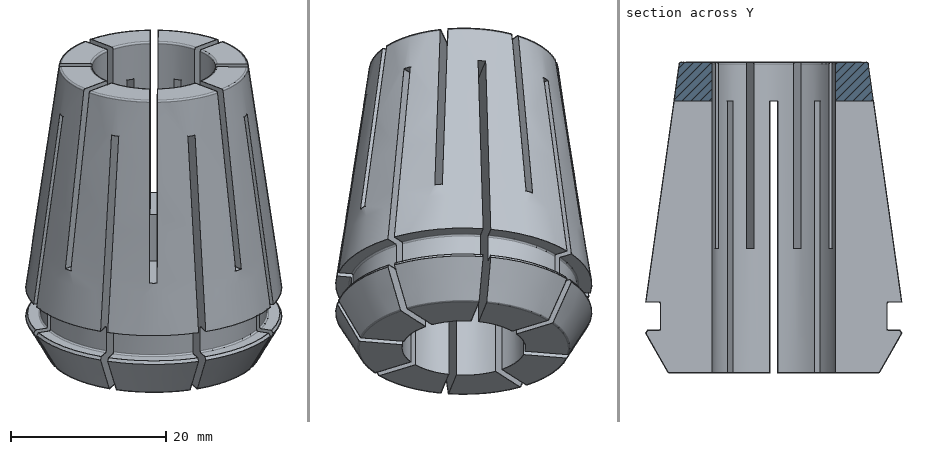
import cadquery as cq
import math

length = 40.0
max_radius = 16.5
bore_diameter = 15.88
cone_half_angle = 8.0
top_edge_fillet = 0.25
nose_edge_fillet = 0.2

nose_radius = 13.6
flange_edge_height = 5.1
flange_top_radius = 16.25
flange_top_height = 5.5
groove_top_height = 9.1
groove_radius = 14.6
groove_fillet = 0.2

slot_width = 1.0
slot_overrun = 1.0
slot_count = 8
slot_pitch = 360.0 / slot_count
nose_slot_end_height = 35.0
top_slot_end_height = 16.0

top_radius = max_radius - (length - groove_top_height) * math.tan(math.radians(cone_half_angle))
bore_radius = bore_diameter / 2


def make_body():
    """Revolved sleeve: tapered nose, flange, groove with rounded corners and long locating cone."""
    corner_radius = groove_radius + groove_fillet
    profile = (
        cq.Workplane("XZ")
        .moveTo(bore_radius, 0)
        .lineTo(nose_radius, 0)
        .lineTo(max_radius, flange_edge_height)
        .lineTo(flange_top_radius, flange_top_height)
        .lineTo(corner_radius, flange_top_height)
        .radiusArc((groove_radius, flange_top_height + groove_fillet), groove_fillet)
        .lineTo(groove_radius, groove_top_height - groove_fillet)
        .radiusArc((corner_radius, groove_top_height), groove_fillet)
        .lineTo(max_radius, groove_top_height)
        .lineTo(top_radius, length)
        .lineTo(bore_radius, length)
        .close()
    )
    body = profile.revolve(360, (0, 0, 0), (0, 1, 0))
    body = body.faces(">Z").edges().fillet(top_edge_fillet)
    return body.faces("<Z").edges(cq.selectors.RadiusNthSelector(-1)).fillet(nose_edge_fillet)


def cut_slots(body, bottom, top, first_angle):
    """Cut equally spaced radial slots from the bore outwards between two heights."""
    slot = cq.Workplane("XY").box(
        max_radius + slot_overrun, slot_width, top - bottom, centered=(False, True, False)
    ).translate((0, 0, bottom))
    for index in range(slot_count):
        angle = first_angle + index * slot_pitch
        body = body.cut(slot.rotate((0, 0, 0), (0, 0, 1), angle))
    return body


result = make_body()
result = cut_slots(result, 0, nose_slot_end_height, 0)
result = cut_slots(result, top_slot_end_height, length, slot_pitch / 2)